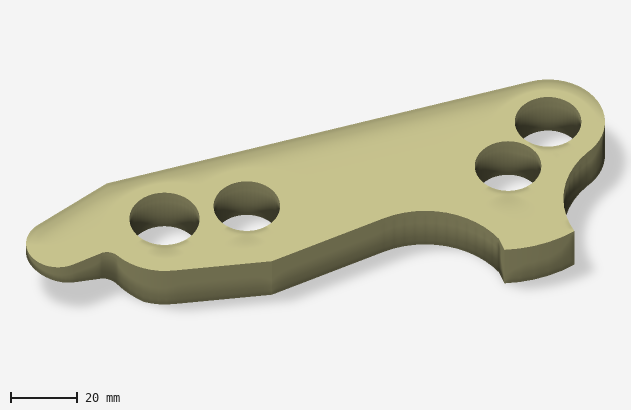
import cadquery as cq
import math

LENGTH = 181.5
THICKNESS = 15.0

HEAD_RADIUS = 17.0
HEAD_CENTER = (HEAD_RADIUS, LENGTH - HEAD_RADIUS)
HEAD_END_ANGLE = 25.0

ARM_TOP_MID = (41.5, 162.3)
ARM_TOP_CORNER = (61.4, 158.5)
ARM_TIP = (63.4, 146.9)
ARM_LOWER_CORNER = (62.0, 136.2)
NOTCH_START = (57.4, 136.0)
NOTCH_MID = (44.7, 127.3)
NOTCH_END = (38.9, 105.8)

BELLY_CORNER = (45.0, 68.5)
LOBE_START = (39.5, 39.4)
LOBE_MID = (36.1, 31.2)
LOBE_END = (28.7, 25.0)

NECK_MID = (26.7, 23.2)
NECK_END = (26.1, 21.0)

TAIL_RADIUS = 9.6
TAIL_CENTER = (18.5, TAIL_RADIUS)
TAIL_RIGHT_ANGLE = 10.0
TAIL_LEFT_ANGLE = 199.5
BACK_EDGE_END = 30.9

TAIL_RISE = 11.0

HOLE_RADIUS = 10.0
HOLE_CENTERS = [HEAD_CENTER, (30.3, 147.6), (21.6, 68.0)]
TAIL_HOLE_RADIUS = 10.5
TAIL_HOLE_CENTER = (18.9, 43.0)


def point_on_circle(center, radius, angle):
    """Point on a circle at an angle in degrees from +X."""
    turn = math.radians(angle)
    return (center[0] + radius * math.cos(turn), center[1] + radius * math.sin(turn))


def make_plate():
    head_top = (HEAD_CENTER[0], LENGTH)
    head_end = point_on_circle(HEAD_CENTER, HEAD_RADIUS, HEAD_END_ANGLE)
    tail_right = point_on_circle(TAIL_CENTER, TAIL_RADIUS, TAIL_RIGHT_ANGLE)
    tail_left = point_on_circle(TAIL_CENTER, TAIL_RADIUS, TAIL_LEFT_ANGLE)
    tail_tip = (TAIL_CENTER[0], 0)
    return (
        cq.Workplane("XY")
        .moveTo(0, BACK_EDGE_END)
        .lineTo(0, HEAD_CENTER[1])
        .threePointArc(head_top, head_end)
        .threePointArc(ARM_TOP_MID, ARM_TOP_CORNER)
        .threePointArc(ARM_TIP, ARM_LOWER_CORNER)
        .lineTo(*NOTCH_START)
        .threePointArc(NOTCH_MID, NOTCH_END)
        .lineTo(*BELLY_CORNER)
        .lineTo(*LOBE_START)
        .threePointArc(LOBE_MID, LOBE_END)
        .threePointArc(NECK_MID, NECK_END)
        .lineTo(*tail_right)
        .threePointArc(tail_tip, tail_left)
        .close()
        .extrude(THICKNESS)
    )


def make_tail_wedge():
    """Wedge of material removed below the sloping underside of the tail."""
    return (
        cq.Workplane("YZ")
        .polyline([(0, 0), (BACK_EDGE_END, 0), (0, TAIL_RISE)])
        .close()
        .extrude(ARM_TIP[0])
    )


def make_holes(centers, radius):
    return cq.Workplane("XY").pushPoints(centers).circle(radius).extrude(THICKNESS)


result = (
    make_plate()
    .cut(make_tail_wedge())
    .cut(make_holes(HOLE_CENTERS, HOLE_RADIUS))
    .cut(make_holes([TAIL_HOLE_CENTER], TAIL_HOLE_RADIUS))
)